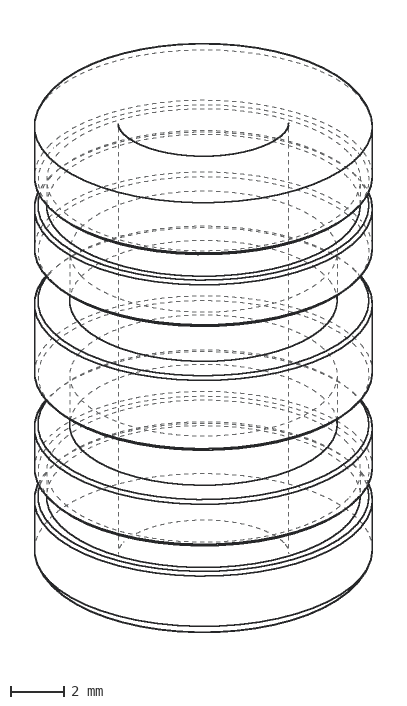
import cadquery as cq
import math

LENGTH = 18.86
OUTER_RADIUS = 6.34
BORE_RADIUS = 3.19

END_ROUND_RADIUS = 0.75
END_ROUND_HEIGHT = 0.53
BORE_ROUND_RADIUS = 0.45

SHALLOW_GROOVE_RADIUS = 5.88
SHALLOW_GROOVE_WIDTH = 1.08
SHALLOW_GROOVE_OFFSET = 2.77
DEEP_GROOVE_RADIUS = 5.02
DEEP_GROOVE_WIDTH = 2.07
DEEP_GROOVE_OFFSET = 5.79
GROOVE_CHAMFER = 0.13

CUT_CLEARANCE = 0.19


def make_blank():
    """Revolve the plain tube with its rounded ends."""
    centre_gap = END_ROUND_RADIUS - END_ROUND_HEIGHT
    round_width = math.sqrt(END_ROUND_RADIUS**2 - centre_gap**2)
    face_radius = OUTER_RADIUS - round_width
    half_angle = math.acos(centre_gap / END_ROUND_RADIUS) / 2
    mid_radius = face_radius + END_ROUND_RADIUS * math.sin(half_angle)
    mid_drop = END_ROUND_RADIUS * (1 - math.cos(half_angle))

    profile = (
        cq.Workplane("XZ")
        .moveTo(BORE_RADIUS, 0)
        .lineTo(face_radius, 0)
        .threePointArc((mid_radius, mid_drop), (OUTER_RADIUS, END_ROUND_HEIGHT))
        .lineTo(OUTER_RADIUS, LENGTH - END_ROUND_HEIGHT)
        .threePointArc((mid_radius, LENGTH - mid_drop), (face_radius, LENGTH))
        .lineTo(BORE_RADIUS, LENGTH)
        .close()
    )
    blank = profile.revolve(360, (0, 0, 0), (0, 1, 0))
    bore_rims = cq.selectors.RadiusNthSelector(0)
    return blank.faces("<Z or >Z").edges(bore_rims).fillet(BORE_ROUND_RADIUS)


def make_groove(bottom, width, floor_radius):
    """Ring-shaped cutter for a groove whose two outer rims are chamfered."""
    top = bottom + width
    wall_radius = OUTER_RADIUS - GROOVE_CHAMFER
    cut_radius = OUTER_RADIUS + CUT_CLEARANCE
    flare = GROOVE_CHAMFER + CUT_CLEARANCE
    return (
        cq.Workplane("XZ")
        .moveTo(floor_radius, bottom)
        .lineTo(wall_radius, bottom)
        .lineTo(cut_radius, bottom - flare)
        .lineTo(cut_radius, top + flare)
        .lineTo(wall_radius, top)
        .lineTo(floor_radius, top)
        .close()
        .revolve(360, (0, 0, 0), (0, 1, 0))
    )


def make_sleeve():
    """Cut a shallow and a deep groove at each end of the blank."""
    sleeve = make_blank()
    grooves = [
        (SHALLOW_GROOVE_OFFSET, SHALLOW_GROOVE_WIDTH, SHALLOW_GROOVE_RADIUS),
        (DEEP_GROOVE_OFFSET, DEEP_GROOVE_WIDTH, DEEP_GROOVE_RADIUS),
    ]
    for offset, width, floor_radius in grooves:
        for bottom in (offset, LENGTH - offset - width):
            sleeve = sleeve.cut(make_groove(bottom, width, floor_radius))
    return sleeve


sleeve = make_sleeve()
result = cq.Compound.makeCompound([sleeve.val()])